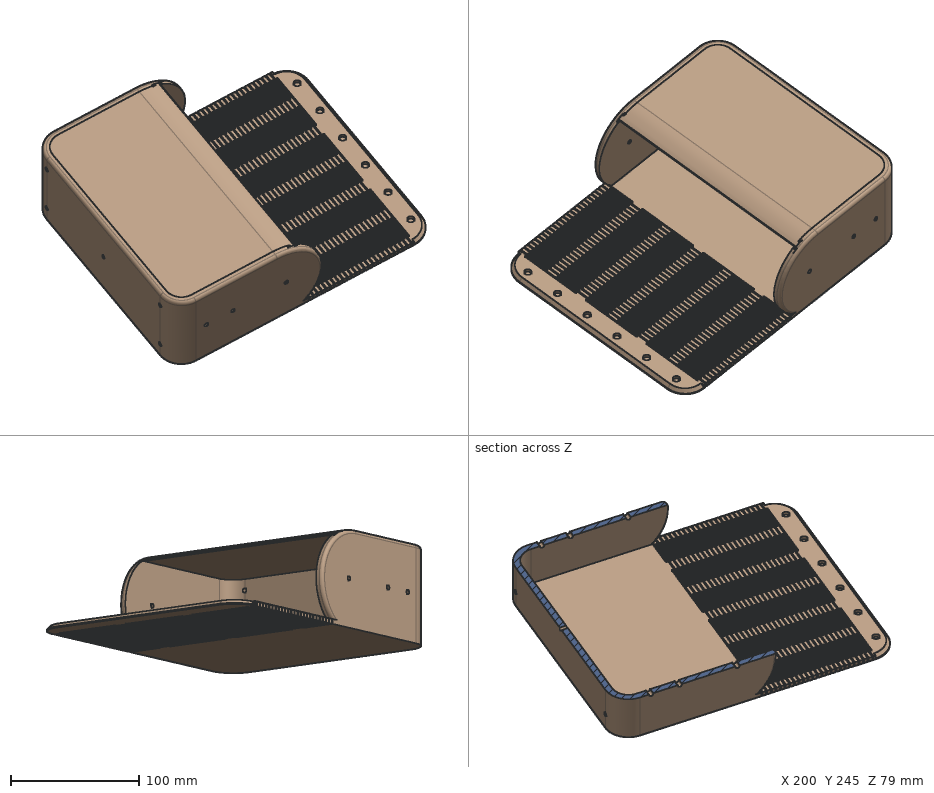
import cadquery as cq

WIDTH = 200.0
LENGTH = 245.0
HEIGHT = 79.0

CORNER_RADIUS = 20.0
WALL = 6.0
FLOOR = 4.0
BACK_RADIUS = 43.0
BACK_CENTRE_Y = 96.3
TOP_FILLET = 3.0

LID_END_Y = 116.0
LID_THICKNESS = 6.0
LIP_THICKNESS = 3.0
TONGUE = 1.5

SCREW_HOLE = 3.5
CENTRE_HOLE = 3.0
HOLE_HEIGHT = 39.2
FRONT_HOLE_RISE = 25.0
SIDE_HOLES_Y = (30.1, 55.1, 105.0)

FLAP_CHAMFER = 3.0
SLOT_WIDTH = 1.0
SLOT_ROWS = 25
INNER_SLOTS = 3
EDGE_SLOTS = 4
HINGE_TRAVEL = 96.0
SLOT_PITCH = HINGE_TRAVEL / (SLOT_ROWS - 1)
SLOT_LENGTH = 55.1
SLOT_PERIOD = 65.5
FIRST_ROW_INSET = 0.42
FIRST_ROW_Y = LENGTH - CORNER_RADIUS - FIRST_ROW_INSET
MAGNET_COUNT = 6
MAGNET_SPAN = 160.0
MAGNET_DIAMETER = 6.0
MAGNET_DEPTH = 3.0
MAGNET_INSET = 10.0


def slab(half_width, front, back, bottom, top, corner_radius):
    """Flat block with its two front corners rounded in plan."""
    block = cq.Workplane("XY").box(
        2 * half_width, back - front, top - bottom, centered=(True, False, False)
    )
    return block.translate((0, front, bottom)).edges("|Z and <Y").fillet(corner_radius)


def outer_block():
    """Solid envelope of the box: rounded front corners and a circular back."""
    centre_z = HEIGHT - BACK_RADIUS
    foot_y = BACK_CENTRE_Y + (BACK_RADIUS**2 - centre_z**2) ** 0.5
    profile = (
        cq.Workplane("YZ", origin=(-WIDTH / 2, 0, 0))
        .lineTo(0, HEIGHT)
        .lineTo(BACK_CENTRE_Y, HEIGHT)
        .threePointArc((BACK_CENTRE_Y + BACK_RADIUS, centre_z), (foot_y, 0))
        .close()
    )
    return profile.extrude(WIDTH).edges("|Z and <Y").fillet(CORNER_RADIUS)


def lid_slabs(end_y):
    """Lid outline: a top plate between the walls on a wider tongue below it."""
    lip_z = HEIGHT - LIP_THICKNESS
    plate = slab(WIDTH / 2 - WALL, WALL, end_y, lip_z, HEIGHT, CORNER_RADIUS - WALL)
    inset = WALL - TONGUE
    tongue = slab(
        WIDTH / 2 - inset, inset, end_y, HEIGHT - LID_THICKNESS, lip_z, CORNER_RADIUS - inset
    )
    return plate.union(tongue)


def flap_end():
    """Rear strip of the flap with rounded corners, a chamfered rim and magnet pockets."""
    start = LENGTH - CORNER_RADIUS
    half = WIDTH / 2
    strip = (
        cq.Workplane("XY")
        .moveTo(-half, start)
        .lineTo(half, start)
        .radiusArc((half - CORNER_RADIUS, LENGTH), -CORNER_RADIUS)
        .lineTo(CORNER_RADIUS - half, LENGTH)
        .radiusArc((-half, start), -CORNER_RADIUS)
        .close()
        .extrude(FLOOR)
    )
    strip = strip.faces(">Z").edges("not <Y").chamfer(FLAP_CHAMFER)
    pockets = (
        cq.Workplane("XY", origin=(0, LENGTH - MAGNET_INSET, FLOOR - MAGNET_DEPTH))
        .rarray(MAGNET_SPAN / (MAGNET_COUNT - 1), 2.5, MAGNET_COUNT, 1)
        .circle(MAGNET_DIAMETER / 2)
        .extrude(MAGNET_DEPTH)
    )
    return strip.cut(pockets)


def slot_row(y, count):
    """One row of equal round-ended slots, centred on the width of the flap."""
    return (
        cq.Workplane("XY", origin=(0, y, 0))
        .rarray(SLOT_PERIOD, 2.5, count, 1)
        .slot2D(SLOT_LENGTH, SLOT_WIDTH)
        .extrude(FLOOR)
    )


def hinge_slots():
    """Alternating rows of inner slots and of slots whose outer ones break the side edges."""
    slots = []
    for row in range(SLOT_ROWS):
        y = FIRST_ROW_Y - row * SLOT_PITCH
        slots += slot_row(y, INNER_SLOTS).vals()
        slots += slot_row(y - SLOT_PITCH / 2, EDGE_SLOTS).vals()
    return cq.Workplane(cq.Compound.makeCompound(slots))


def screw_holes():
    """Holes through the front wall and through both side walls."""
    front = cq.Workplane("XZ", origin=(0, 0, HOLE_HEIGHT))
    centre = front.circle(CENTRE_HOLE / 2).extrude(-WALL)
    corners = (
        front.rarray(WIDTH - 2 * CORNER_RADIUS, 2 * FRONT_HOLE_RISE, 2, 2)
        .circle(SCREW_HOLE / 2)
        .extrude(-CORNER_RADIUS)
    )
    sides = (
        cq.Workplane("YZ", origin=(-WIDTH / 2, 0, HOLE_HEIGHT))
        .pushPoints([(y, 0) for y in SIDE_HOLES_Y])
        .circle(SCREW_HOLE / 2)
        .extrude(WIDTH)
    )
    return centre.union(corners).union(sides)


def make_housing():
    """Open-backed box whose floor runs on into the hinged flap."""
    box = outer_block().edges(">Z").edges("<Y").fillet(TOP_FILLET)
    cavity = slab(WIDTH / 2 - WALL, WALL, LENGTH, FLOOR, HEIGHT, CORNER_RADIUS - WALL)
    box = box.cut(cavity).cut(lid_slabs(LENGTH)).cut(screw_holes())
    sheet = slab(WIDTH / 2, 0, LENGTH - CORNER_RADIUS, 0, FLOOR, CORNER_RADIUS)
    return box.union(sheet).union(flap_end()).cut(hinge_slots())


def make_lid():
    """Sliding lid, trimmed at the back to the round of the box."""
    return lid_slabs(LID_END_Y).intersect(outer_block())


housing = make_housing()
lid = make_lid()

result = cq.Compound.makeCompound([housing.val(), lid.val()])